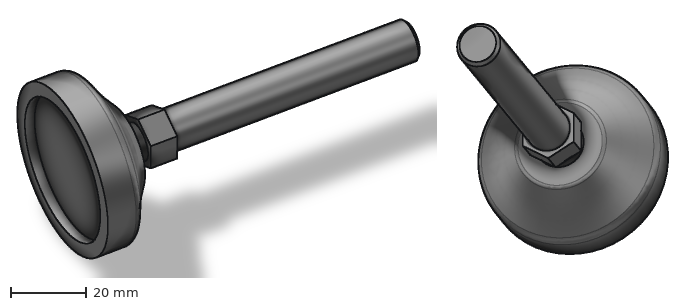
import cadquery as cq

total_length = 106.0

foot_diameter = 50.0
rim_height = 10.0
shoulder_radius = 2.3
foot_height = 18.5
foot_top_diameter = 24.4
top_edge_radius = 1.6
flank_sag = 0.5
pocket_diameter = 41.5
pocket_depth = 3.0

neck_diameter = 11.0
collar_diameter = 13.1
collar_end = 19.8

hex_start = 23.0
hex_height = 8.1
hex_across_flats = 14.0

stem_diameter = 12.0
stem_chamfer = 1.0


def plane_at(height):
    """Work plane across the axis, with its normal along +Y."""
    return cq.Workplane(cq.Plane(origin=(0, height, 0), xDir=(1, 0, 0), normal=(0, 1, 0)))


def make_foot():
    outer_radius = foot_diameter / 2
    top_radius = foot_top_diameter / 2
    profile = (
        cq.Workplane("XY")
        .lineTo(outer_radius, 0)
        .lineTo(outer_radius, rim_height)
        .sagittaArc((top_radius, foot_height), flank_sag)
        .lineTo(0, foot_height)
        .close()
    )
    foot = profile.revolve(360, (0, 0), (0, 1))
    foot = foot.faces(">Y").edges().fillet(top_edge_radius)
    shoulder = cq.selectors.NearestToPointSelector((0, rim_height, 0))
    foot = foot.edges("%CIRCLE").edges(shoulder).fillet(shoulder_radius)
    pocket = plane_at(0).circle(pocket_diameter / 2).extrude(pocket_depth)
    return foot.cut(pocket)


def make_neck():
    neck = plane_at(foot_height).circle(neck_diameter / 2).extrude(hex_start - foot_height)
    collar = (
        plane_at(foot_height)
        .circle(collar_diameter / 2)
        .workplane(offset=collar_end - foot_height)
        .circle(neck_diameter / 2)
        .loft(ruled=True)
    )
    return neck.union(collar)


def make_hexagon():
    return plane_at(hex_start).polygon(6, hex_across_flats, circumscribed=True).extrude(hex_height)


def make_stem():
    stem_start = hex_start + hex_height
    stem = plane_at(stem_start).circle(stem_diameter / 2).extrude(total_length - stem_start)
    return stem.faces(">Y").edges().chamfer(stem_chamfer)


result = make_foot().union(make_neck()).union(make_hexagon()).union(make_stem())